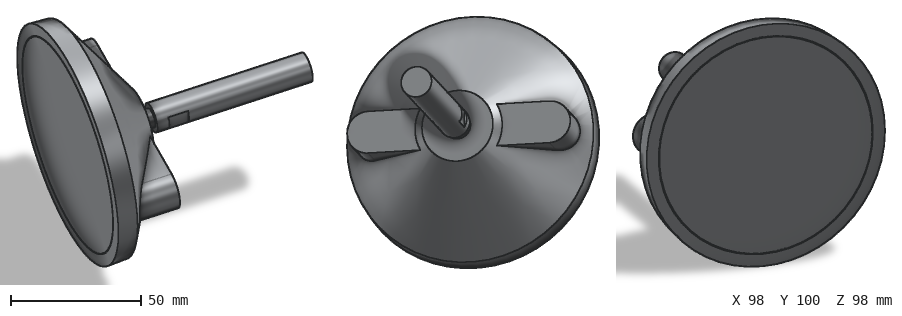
import cadquery as cq


sole_diameter = 98.0
rim_top_diameter = 97.2
cone_top_diameter = 28.0
rim_height = 8.2
base_height = 30.0

groove_outer_diameter = 88.0
groove_inner_diameter = 87.5
groove_depth = 1.0

lug_width = 16.5
lug_span = 88.0
lug_top = 28.0

ball_diameter = 12.5
ball_center = 26.5
neck_diameter = 7.8
shaft_diameter = 12.0
shaft_start = 35.0
overall_length = 100.0

flat_start = 40.0
flat_length = 8.2
across_flats = 10.0


def disc(diameter, start, length):
    """Cylinder on the Y axis, from start toward +Y."""
    return cq.Workplane("XZ", origin=(0, start, 0)).circle(diameter / 2).extrude(-length)


def round_base():
    """Drafted rim and cone turned about the Y axis."""
    profile = [
        (0, 0),
        (sole_diameter / 2, 0),
        (rim_top_diameter / 2, rim_height),
        (cone_top_diameter / 2, base_height),
        (0, base_height),
    ]
    return cq.Workplane("XY").polyline(profile).close().revolve(360, (0, 0), (0, 1))


def spindle():
    """Ball seated in the base, with the neck and shaft above it."""
    ball = cq.Workplane("XY").sphere(ball_diameter / 2).translate((0, ball_center, 0))
    neck = disc(neck_diameter, ball_center, shaft_start - ball_center)
    shaft = disc(shaft_diameter, shaft_start, overall_length - shaft_start)
    return ball.union(neck).union(shaft).cut(flat_cutter())


def lug_bar():
    """Bar with round ends; its lower part is buried in the base."""
    bar_start = rim_height / 2
    return (
        cq.Workplane("XZ", origin=(0, bar_start, 0))
        .slot2D(lug_span, lug_width)
        .extrude(-(lug_top - bar_start))
    )


def sole_groove():
    """Ring removed from the sole."""
    outer = disc(groove_outer_diameter, 0, groove_depth)
    return outer.cut(disc(groove_inner_diameter, 0, groove_depth))


def flat_cutter():
    """Material removed outside the two opposite wrench flats."""
    block = cq.Workplane("XY").box(shaft_diameter * 2, flat_length, shaft_diameter * 2)
    core = cq.Workplane("XY").box(across_flats, flat_length, shaft_diameter * 2)
    return block.cut(core).translate((0, flat_start + flat_length / 2, 0))


result = round_base().union(lug_bar()).union(spindle()).cut(sole_groove())